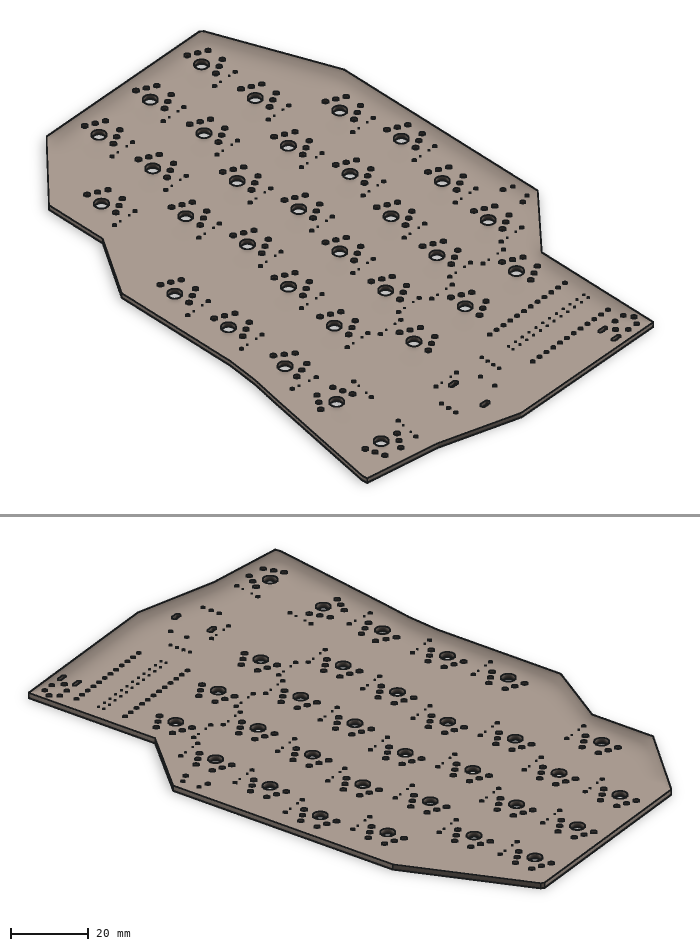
import cadquery as cq


length = 163.0
width = 112.0
thickness = 1.6

left_top = 98.0
left_bottom = 40.3
shelf_level = 21.2
palm_level = 9.1
right_top = 95.2
right_bottom = 46.1
corner_trim_length = 0.7
corner_trim_height = 0.8

outline = [
    (0, left_bottom),
    (0, left_top - corner_trim_height),
    (corner_trim_length, left_top),
    (37.2, width),
    (106.0, width),
    (123.5, right_top),
    (length, right_top),
    (length, right_bottom),
    (155.7, 22.5),
    (152.1, 0.2),
    (150.5, 0),
    (114.1, 6.4),
    (104.7, 8.2),
    (95.0, palm_level),
    (56.4, palm_level),
    (38.2, shelf_level),
    (19.0, shelf_level),
]

grid = 1.27
pin_pitch = 2 * grid
key_pitch = 15 * grid

stem_diameter = 3.9
guide_diameter = 1.6
switch_pin_diameter = 1.5
guide_offset = 4 * grid
switch_pins = [(2 * grid, 4 * grid), (3 * grid, 2 * grid)]

diode_offset = 6.5 * grid
diode_lead_offset = 3 * grid
diode_lead_diameter = 1.0
diode_via_offset = 1.6
diode_via_diameter = 0.3

first_column = 9.3
columns = [
    (88.2, 3, 1),
    (88.2, 4, 1),
    (99.6, 4, 1),
    (102.5, 4, 1),
    (97.8, 4, 1),
    (94.9, 4, 1),
    (85.5, 3, -1),
]
first_thumb_x = 66.4
thumb_row = 18.5
thumb_keys = [
    (first_thumb_x, thumb_row, 0, 1),
    (first_thumb_x + key_pitch, thumb_row, 0, 1),
    (106.5, 17.5, -10, 1),
    (125.7, 16.5, 80, 1),
    (144.6, 13.2, -100, -1),
]

header_rows = 12
header_first_x = 136.0
header_span = 12 * grid
header_top = 90.7
header_diameter = 1.1
jumper_first_x = 142.7
jumper_span = 1.6
jumper_diameter = 0.4

reset_x = 102.7
reset_pin_y = 108.8
reset_pin_spacing = 5.0
reset_pin_diameter = 1.0
reset_post_y = 106.1
reset_post_spacing = 7.0
reset_post_diameter = 1.3

jack_x = 158.0
jack_peg_diameter = 1.5
jack_peg_levels = (93.3, 86.4)
jack_pin_spacing = 4.7
jack_pin_diameter = 1.3
jack_pin_levels = (91.8, 88.7)
jack_slot_level = 84.1
jack_slot_length = 3.0
jack_slot_width = 1.1

display_first_x = 140.7
display_pin_count = 4
display_pitch = 1.6 * grid
display_y = 54.8
display_diameter = 0.75

encoder_x = 148.2
encoder_y = 42.2
encoder_pin_diameter = 1.0
encoder_push_y = encoder_y + 6.8
encoder_push_spacing = 2 * pin_pitch
encoder_turn_y = encoder_y - 7.7
encoder_slot_spacing = 11.3
encoder_slot_length = 3.0
encoder_slot_width = 1.5
encoder_diode_x = 140.0

holes = {}


def add_holes(diameter, centres):
    holes.setdefault(diameter, []).extend(centres)


def place(local_points, x, y, rotation=0):
    """Turn points about the origin and move them to (x, y)."""
    frame = cq.Location(cq.Vector(x, y, 0), cq.Vector(0, 0, 1), rotation)
    moved = [frame * cq.Location(cq.Vector(px, py, 0)) for px, py in local_points]
    return [location.toTuple()[0][:2] for location in moved]


def add_diode(x, y, rotation=0, offset=0):
    """Two lead holes and two vias in a line, beside the point (x, y)."""
    leads = [(offset, side * diode_lead_offset) for side in (-1, 1)]
    vias = [(offset, side * diode_via_offset) for side in (-1, 1)]
    add_holes(diode_lead_diameter, place(leads, x, y, rotation))
    add_holes(diode_via_diameter, place(vias, x, y, rotation))


def add_key(x, y, rotation, diode_side):
    guides = [(side * guide_offset, 0) for side in (-1, 1)]
    pins = [(side * px, py) for side in (-1, 1) for px, py in switch_pins]
    add_holes(stem_diameter, [(x, y)])
    add_holes(guide_diameter, place(guides, x, y, rotation))
    add_holes(switch_pin_diameter, place(pins, x, y, rotation))
    add_diode(x, y, rotation, diode_side * diode_offset)


def pair(x, y, spacing):
    """Two points level with each other, centred on (x, y)."""
    return [(x - spacing / 2, y), (x + spacing / 2, y)]


def upright_slots(centres, slot_length, slot_width):
    """Cutters for round-ended slots that run along Y."""
    plane = cq.Workplane("XY").pushPoints(centres)
    return plane.slot2D(slot_length, slot_width, 90).extrude(thickness)


for index, (top_key, key_count, diode_side) in enumerate(columns):
    for row in range(key_count):
        add_key(first_column + index * key_pitch, top_key - row * key_pitch, 0, diode_side)

for x, y, rotation, diode_side in thumb_keys:
    add_key(x, y, rotation, diode_side)

for row in range(header_rows):
    y = header_top - row * pin_pitch
    add_holes(header_diameter, [(header_first_x, y), (header_first_x + header_span, y)])
    add_holes(jumper_diameter, [(jumper_first_x, y), (jumper_first_x + jumper_span, y)])

add_holes(reset_pin_diameter, pair(reset_x, reset_pin_y, reset_pin_spacing))
add_holes(reset_post_diameter, pair(reset_x, reset_post_y, reset_post_spacing))

add_holes(jack_peg_diameter, [(jack_x, y) for y in jack_peg_levels])
for y in jack_pin_levels:
    add_holes(jack_pin_diameter, pair(jack_x, y, jack_pin_spacing))

for index in range(display_pin_count):
    add_holes(display_diameter, [(display_first_x + index * display_pitch, display_y)])

add_holes(encoder_pin_diameter, pair(encoder_x, encoder_push_y, encoder_push_spacing))
for step in (-1, 0, 1):
    add_holes(encoder_pin_diameter, [(encoder_x + step * pin_pitch, encoder_turn_y)])
add_diode(encoder_diode_x, encoder_y)

result = cq.Workplane("XY").polyline(outline).close().extrude(thickness)

for diameter, centres in holes.items():
    drills = cq.Workplane("XY").pushPoints(centres).circle(diameter / 2).extrude(thickness)
    result = result.cut(drills)

jack_slots = upright_slots(
    pair(jack_x, jack_slot_level, jack_pin_spacing), jack_slot_length, jack_slot_width
)
encoder_slots = upright_slots(
    pair(encoder_x, encoder_y, encoder_slot_spacing), encoder_slot_length, encoder_slot_width
)
result = result.cut(jack_slots).cut(encoder_slots)